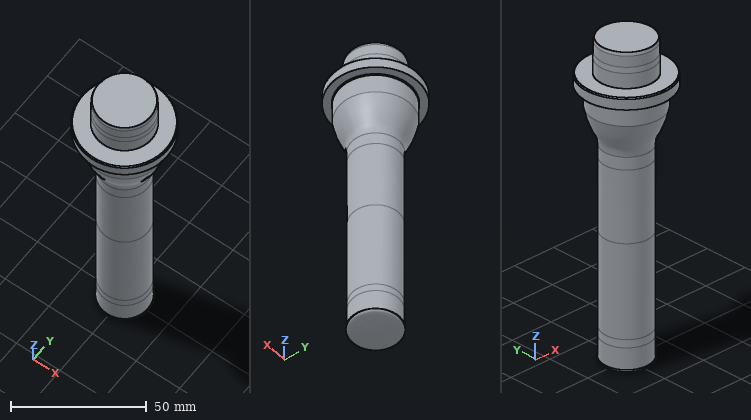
import cadquery as cq

tip_top_z = 1.55
end_band_top_z = 10.9
end_taper_top_z = 14.3
stem_taper_bottom_z = 54.7
stem_taper_top_z = 85.8
shoulder_bottom_z = 91.2
shoulder_middle_z = 98.5
shoulder_top_z = 107.1
flange_bottom_z = 116.0
flange_thickness = 5.0
flange_top_z = flange_bottom_z + flange_thickness
overall_height = 136.0

end_band_radius = 21.45 / 2
stem_radius = 21.23 / 2
neck_radius = 21.48 / 2
shoulder_middle_radius = 13.35
shoulder_top_slope = 0.2
collar_radius = 32.0 / 2
collar_flare_height = 0.52
collar_flare_width = 0.2
flange_radius = 39.5 / 2
flange_chamfer = 0.5

shank_seat_radius = 25.0 / 2
shank_pilot_radius = 24.7 / 2
shank_taper_bottom_z = 127.5
shank_taper_top_z = 130.0
lead_in_height = 1.3
lead_in_width = 0.4

tip_crown_radius = 9.2
tip_crown_z = 0.25
tip_corner_radius = 10.65
tip_corner_z = 0.6
tip_rim_radius = 11.0
tip_rim_z = 1.2


def make_holder():
    """Turned holder: stem, S-curved shoulder, flange and shank, as one revolved outline."""
    shoulder_points = [
        (shoulder_middle_radius, shoulder_middle_z),
        (collar_radius, shoulder_top_z),
    ]
    shoulder_tangents = [(0, 1), (shoulder_top_slope, 1)]
    return (
        cq.Workplane("XZ")
        .moveTo(0, tip_top_z)
        .lineTo(end_band_radius, tip_top_z)
        .lineTo(end_band_radius, end_band_top_z)
        .lineTo(stem_radius, end_taper_top_z)
        .lineTo(stem_radius, stem_taper_bottom_z)
        .lineTo(neck_radius, stem_taper_top_z)
        .lineTo(neck_radius, shoulder_bottom_z)
        .spline(shoulder_points, tangents=shoulder_tangents, includeCurrent=True)
        .lineTo(collar_radius, flange_bottom_z - collar_flare_height)
        .lineTo(collar_radius + collar_flare_width, flange_bottom_z)
        .lineTo(flange_radius, flange_bottom_z)
        .lineTo(flange_radius, flange_top_z - flange_chamfer)
        .lineTo(flange_radius - flange_chamfer, flange_top_z)
        .lineTo(shank_seat_radius, flange_top_z)
        .lineTo(shank_seat_radius, shank_taper_bottom_z)
        .lineTo(shank_pilot_radius, shank_taper_top_z)
        .lineTo(shank_pilot_radius, overall_height - lead_in_height)
        .lineTo(shank_pilot_radius - lead_in_width, overall_height)
        .lineTo(0, overall_height)
        .close()
        .revolve(360, (0, 0), (0, 1))
    )


def make_tip():
    """Shallow dome under the stem, curving without a break from its rim to its lowest point."""
    dome_points = [
        (tip_crown_radius, tip_crown_z),
        (tip_corner_radius, tip_corner_z),
        (tip_rim_radius, tip_rim_z),
        (end_band_radius, tip_top_z),
    ]
    return (
        cq.Workplane("XZ")
        .spline(dome_points, tangents=[(1, 0), (-1, 0)], includeCurrent=True)
        .lineTo(0, tip_top_z)
        .close()
        .revolve(360, (0, 0), (0, 1))
    )


holder = make_holder()
tip = make_tip()

result = cq.Compound.makeCompound([holder.val(), tip.val()])